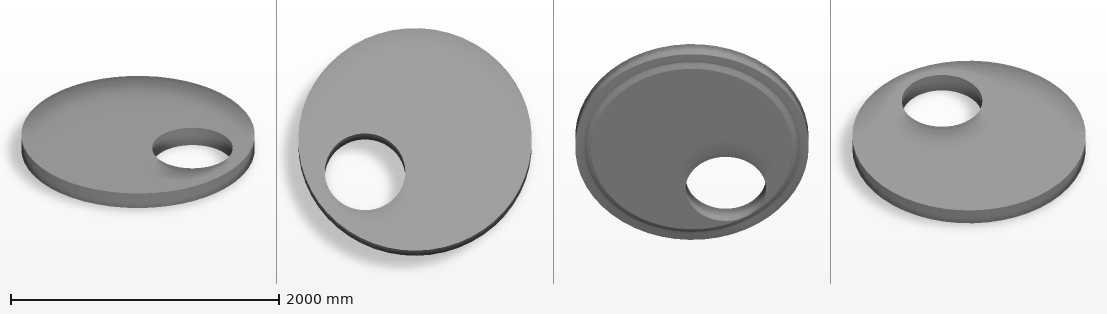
import cadquery as cq

disc_diameter = 1740.0
total_height = 150.0
disc_thickness = 125.0

step_height = total_height - disc_thickness
step_top_diameter = 1590.0
step_bottom_diameter = 1503.0

opening_diameter = 600.0
opening_offset_x = 450.0


def make_disc():
    """Flat round disc resting on the step."""
    return cq.Workplane("XY").workplane(offset=step_height).circle(disc_diameter / 2).extrude(disc_thickness)


def make_step():
    """Conical step that narrows towards its bottom face at Z = 0."""
    return (
        cq.Workplane("XZ")
        .lineTo(step_bottom_diameter / 2, 0)
        .lineTo(step_top_diameter / 2, step_height)
        .lineTo(0, step_height)
        .close()
        .revolve(360, (0, 0, 0), (0, 1, 0))
    )


def make_opening():
    """Cylinder that cuts the opening through the full height."""
    return cq.Workplane("XY").center(opening_offset_x, 0).circle(opening_diameter / 2).extrude(total_height)


result = make_disc().union(make_step()).cut(make_opening())